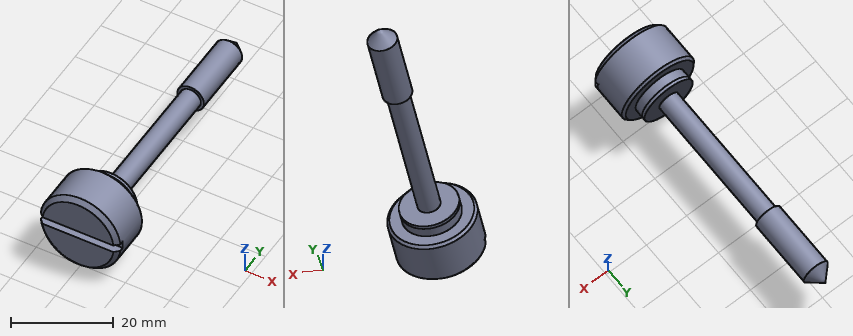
import cadquery as cq

total_length = 62.0

head_diameter = 18.0
head_length = 10.0
front_chamfer = 1.0
back_chamfer = 0.55
slot_width = 1.75
slot_depth = 1.9

collar_diameter = 12.0
collar_length = 2.05
washer_thickness = 0.75

shank_diameter = 4.65
tip_diameter = 6.0
tip_length = 15.0
point_length = tip_diameter / 2

collar_end = head_length + collar_length
tip_start = total_length - point_length - tip_length


def cylinder_along_y(diameter, start, end):
    """Cylinder on the Y axis between two Y positions."""
    return (
        cq.Workplane("XZ", origin=(0, start, 0))
        .circle(diameter / 2)
        .extrude(start - end)
    )


def make_head():
    """Chamfered round head with a screwdriver slot along X."""
    head = cylinder_along_y(head_diameter, 0, head_length)
    head = head.faces("<Y").chamfer(front_chamfer)
    head = head.faces(">Y").chamfer(back_chamfer)
    slot = cq.Workplane("XY").box(
        head_diameter, slot_depth, slot_width, centered=(True, False, True)
    )
    return head.cut(slot)


def make_tip():
    """Thickened end of the shank, finished with a sharp cone."""
    radius = tip_diameter / 2
    return (
        cq.Workplane("XY")
        .moveTo(0, tip_start)
        .lineTo(radius, tip_start)
        .lineTo(radius, tip_start + tip_length)
        .lineTo(0, total_length)
        .close()
        .revolve(360, (0, 0, 0), (0, 1, 0))
    )


def make_screw():
    """Head, collar, slim shank and pointed tip in one piece."""
    collar = cylinder_along_y(collar_diameter, head_length, collar_end)
    shank = cylinder_along_y(shank_diameter, collar_end, tip_start)
    return make_head().union(collar).union(shank).union(make_tip())


def make_washer():
    """Flat ring around the shank, resting against the collar."""
    washer_end = collar_end + washer_thickness
    ring = cylinder_along_y(collar_diameter, collar_end, washer_end)
    bore = cylinder_along_y(shank_diameter, collar_end, washer_end)
    return ring.cut(bore)


screw = make_screw()
washer = make_washer()

result = cq.Compound.makeCompound([screw.val(), washer.val()])